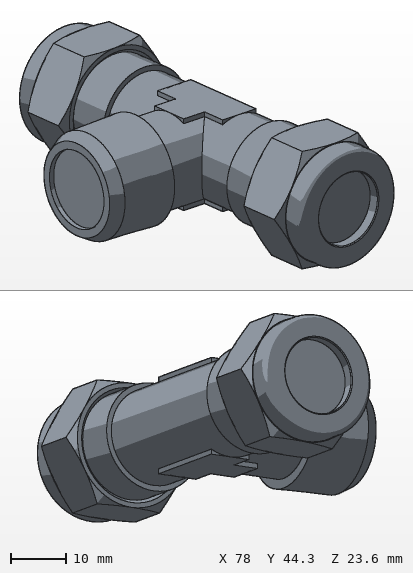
import cadquery as cq
import math

half_length = 39.0
branch_end = 31.05

tube_radius = 9.0
collar_radius = 10.0
collar_start = 17.0

pad_half_width = 4.0

nut_start = 24.5
nut_length = 10.4
nut_across_flats = 23.0
nut_chamfer_length = 1.0
nut_mouth_radius = 10.6
left_nut_turn = 2.5

cap_radius = 11.4
cap_round = 1.0
port_radius = 7.0
port_chamfer = 0.195
port_depth = 2.2

thread_start = 17.0
thread_radius = 10.8
thread_taper = 1 / 16
tip_start = 28.55
tip_radius = 9.05
branch_port_radius = 7.5
branch_port_depth = 1.0

nut_end = nut_start + nut_length
nut_middle = nut_start + nut_length / 2
nut_flat_radius = nut_across_flats / 2
nut_corner_radius = nut_flat_radius / math.cos(math.radians(30))


def cylinder_on_x(radius, start, end):
    """Solid cylinder around the X axis between two X positions."""
    return cq.Workplane("YZ", origin=(start, 0, 0)).circle(radius).extrude(end - start)


def turned_on_x(profile):
    """Solid of revolution around the X axis from (x, radius) points."""
    return cq.Workplane("XY").polyline(profile).close().revolve(360, (0, 0, 0), (1, 0, 0))


def make_core():
    """Two tubes meeting at right angles, with flat pads above and below the crossing."""
    tube_diameter = 2 * tube_radius
    pad_width = 2 * pad_half_width
    run = cylinder_on_x(tube_radius, -nut_start, nut_start)
    branch = cq.Workplane("XZ").circle(tube_radius).extrude(thread_start)
    bar = cq.Workplane("XY").box(tube_diameter, pad_width, tube_diameter)
    stem = (
        cq.Workplane("XY", origin=(0, -tube_radius / 2, 0))
        .box(pad_width, tube_radius, tube_diameter)
    )
    return run.union(branch).union(bar).union(stem)


def make_nut():
    """Hexagonal nut along +X, two corners in the XY plane, corners chamfered at both ends."""
    hexagon = (
        cq.Workplane("YZ", origin=(nut_start, 0, 0))
        .polygon(6, 2 * nut_corner_radius)
        .extrude(nut_length)
    )
    chamfer_envelope = turned_on_x([
        (nut_start, 0),
        (nut_start, nut_flat_radius),
        (nut_start + nut_chamfer_length, nut_corner_radius),
        (nut_end - nut_chamfer_length, nut_corner_radius),
        (nut_end, nut_flat_radius),
        (nut_end, 0),
    ])
    return hexagon.intersect(chamfer_envelope)


def make_nut_mouth():
    """45 degree countersink around the collar where it enters the nut."""
    mouth_depth = nut_mouth_radius - collar_radius
    return turned_on_x([
        (nut_start, collar_radius),
        (nut_start, nut_mouth_radius),
        (nut_start + mouth_depth, collar_radius),
    ])


def make_port():
    """Shallow port in the cap: chamfered rim and flat floor."""
    floor = half_length - port_depth
    return turned_on_x([
        (half_length, 0),
        (half_length, port_radius + port_chamfer),
        (half_length - port_chamfer, port_radius),
        (floor, port_radius),
        (floor, 0),
    ])


def make_run_end():
    """Collar, nut and rounded cap with its port, along +X."""
    collar = cylinder_on_x(collar_radius, collar_start, nut_middle)
    cap = cylinder_on_x(cap_radius, nut_middle, half_length).faces(">X").edges().fillet(cap_round)
    return make_nut().union(cap).union(collar).cut(make_nut_mouth()).cut(make_port())


def make_thread():
    """Plain tapered body of the thread with a conical tip and a shallow port, along -Y."""
    tip_base_radius = thread_radius - (tip_start - thread_start) * thread_taper / 2
    port_floor = branch_end - branch_port_depth
    return (
        cq.Workplane("XY")
        .polyline([
            (0, -thread_start),
            (thread_radius, -thread_start),
            (tip_base_radius, -tip_start),
            (tip_radius, -branch_end),
            (branch_port_radius, -branch_end),
            (branch_port_radius, -port_floor),
            (0, -port_floor),
        ])
        .close()
        .revolve(360, (0, 0, 0), (0, 1, 0))
    )


right_end = make_run_end()
left_end = right_end.mirror("YZ").rotate((0, 0, 0), (1, 0, 0), left_nut_turn)

result = make_core().union(right_end).union(left_end).union(make_thread())